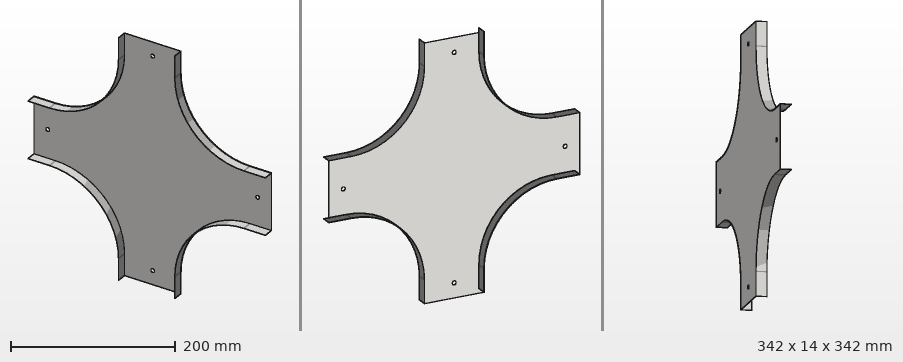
import cadquery as cq

span = 342.0
depth = 14.0
arm_width = 81.7
corner_radius = 99.2
sheet = 0.7

hole_diameter = 5.0
hole_inset = 20.0

half_span = span / 2
back_face = depth / 2


def cross_prism(half_width, radius, thickness):
    """Cross with rounded inner corners, extruded toward -Y from the back face."""
    tangent = half_width + radius
    outline = cq.Workplane("XZ", origin=(0, back_face, 0)).rect(span, span).extrude(thickness)
    for x_side in (-1, 1):
        for z_side in (-1, 1):
            corner = (
                cq.Workplane("XZ", origin=(0, back_face, 0))
                .moveTo(x_side * half_width, z_side * span)
                .lineTo(x_side * half_width, z_side * tangent)
                .radiusArc((x_side * tangent, z_side * half_width), -x_side * z_side * radius)
                .lineTo(x_side * span, z_side * half_width)
                .lineTo(x_side * span, z_side * span)
                .close()
                .extrude(thickness)
            )
            outline = outline.cut(corner)
    return outline


body = cross_prism(arm_width / 2, corner_radius, depth)
channel = cross_prism(arm_width / 2 - sheet, corner_radius + sheet, depth)
channel = channel.translate((0, -sheet, 0))
body = body.cut(channel)

hole_distance = half_span - hole_inset
holes = (
    cq.Workplane("XZ", origin=(0, back_face, 0))
    .pushPoints([(hole_distance, 0), (-hole_distance, 0), (0, hole_distance), (0, -hole_distance)])
    .circle(hole_diameter / 2)
    .extrude(depth)
)

result = body.cut(holes)